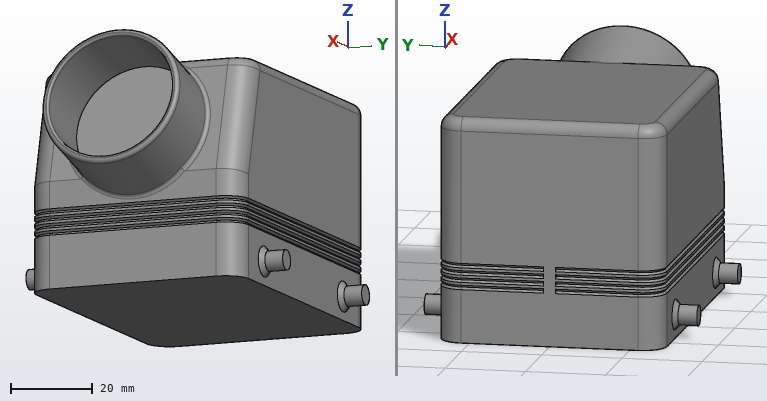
import cadquery as cq
import math

overall_length = 100.9
overall_width = 68.0
overall_height = 61.2

body_length = 82.0
body_width = 56.2
body_height = 56.0
corner_radius = 6.1
top_edge_radius = 3.0
slope_start_height = 26.7
slope_angle = 15.0

tube_diameter = 36.0
bore_diameter = 32.5
rim_radius = 1.0
bore_lip_radius = 0.6
tube_root_fillet = 1.0

peg_spacing = 50.0
peg_height = 6.0
peg_diameter = 5.0
peg_cone_diameter = 7.7
peg_cone_length = 1.2

groove_count = 4
groove_pitch = 1.8
groove_depth = 0.55
lowest_groove_height = 13.9
groove_gap = 3.0

slope_sin = math.sin(math.radians(slope_angle))
slope_cos = math.cos(math.radians(slope_angle))
slope_run = (body_height - slope_start_height) * math.tan(math.radians(slope_angle))
roof_length = body_length - slope_run

tube_radius = tube_diameter / 2
rim_setback = rim_radius * (slope_sin + slope_cos - 1)
tube_end_x = overall_length - tube_radius * slope_sin + rim_setback
tube_end_z = overall_height - tube_radius * slope_cos + rim_setback
tube_end = cq.Vector(tube_end_x, 0, tube_end_z)
tube_axis = cq.Vector(slope_cos, 0, slope_sin)
tube_length = (tube_end_x - body_length) * slope_cos + (tube_end_z - slope_start_height) * slope_sin
tube_overlap = 10.1

surface_tolerance = 0.01


def make_body():
    profile = [
        (0, 0),
        (body_length, 0),
        (body_length, slope_start_height),
        (roof_length, body_height),
        (0, body_height),
    ]
    body = cq.Workplane("XZ").polyline(profile).close().extrude(body_width / 2, both=True)
    body = body.edges("not (|X or |Y)").fillet(corner_radius)
    return body.faces(">Z").edges().fillet(top_edge_radius)


def tube_cylinder(diameter, length):
    """Cylinder on the tube axis, running inwards from the open end."""
    end_plane = cq.Plane(
        origin=tube_end,
        xDir=(0, 1, 0),
        normal=-tube_axis,
    )
    return cq.Workplane(end_plane).circle(diameter / 2).extrude(length)


def is_root_edge(edge):
    """True for a curved edge on the tube surface, away from the open end."""
    offset = edge.positionAt(0.5) - tube_end
    depth = -offset.dot(tube_axis)
    radial_distance = (offset + tube_axis * depth).Length
    on_tube_surface = abs(radial_distance - tube_radius) < surface_tolerance
    return on_tube_surface and depth > 2 * rim_radius and edge.geomType() != "LINE"


def is_bore_edge(edge):
    """True for an edge of the end face that borders the bore."""
    return edge.radius() < bore_diameter / 2 + surface_tolerance


def add_tube(body):
    tube = tube_cylinder(tube_diameter, tube_length + tube_overlap)
    open_end = cq.selectors.DirectionMinMaxSelector(tube_axis)
    tube = tube.faces(open_end).edges().fillet(rim_radius)
    housing = body.union(tube)
    housing = housing.edges().filter(is_root_edge).fillet(tube_root_fillet)
    housing = housing.cut(tube_cylinder(bore_diameter, tube_length))
    return housing.faces(open_end).edges().filter(is_bore_edge).fillet(bore_lip_radius)


def make_peg(x, side):
    wall = body_width / 2
    tip = overall_width / 2
    profile = [
        (0, 0),
        (peg_cone_diameter / 2, 0),
        (peg_cone_diameter / 2, wall),
        (peg_diameter / 2, wall + peg_cone_length),
        (peg_diameter / 2, tip),
        (0, tip),
    ]
    peg = cq.Workplane("XY").polyline(profile).close().revolve(360, (0, 0, 0), (0, 1, 0))
    if side < 0:
        peg = peg.mirror("XZ")
    return peg.translate((x, 0, peg_height))


def make_groove_cutter(height):
    """Square bar, on its corner, bent around the body wall, with a break at the middle of the rear wall."""
    gap_y = groove_gap / 2
    wall_y = body_width / 2
    straight_y = wall_y - corner_radius
    straight_end_x = body_length - corner_radius
    arc_inset = corner_radius * (1 - math.sqrt(0.5))
    path = (
        cq.Workplane("XY", origin=(0, 0, height))
        .moveTo(0, -gap_y)
        .lineTo(0, -straight_y)
        .threePointArc((arc_inset, -wall_y + arc_inset), (corner_radius, -wall_y))
        .lineTo(straight_end_x, -wall_y)
        .threePointArc((body_length - arc_inset, -wall_y + arc_inset), (body_length, -straight_y))
        .lineTo(body_length, straight_y)
        .threePointArc((body_length - arc_inset, wall_y - arc_inset), (straight_end_x, wall_y))
        .lineTo(corner_radius, wall_y)
        .threePointArc((arc_inset, wall_y - arc_inset), (0, straight_y))
        .lineTo(0, gap_y)
    )
    start_plane = cq.Plane(origin=(0, -gap_y, height), xDir=(1, 0, 0), normal=(0, -1, 0))
    square = [
        (-groove_depth, 0),
        (0, -groove_depth),
        (groove_depth, 0),
        (0, groove_depth),
    ]
    return cq.Workplane(start_plane).polyline(square).close().sweep(path)


result = add_tube(make_body())
for peg_x in (body_length / 2 - peg_spacing / 2, body_length / 2 + peg_spacing / 2):
    for side in (-1, 1):
        result = result.union(make_peg(peg_x, side))
for level in range(groove_count):
    result = result.cut(make_groove_cutter(lowest_groove_height + level * groove_pitch))